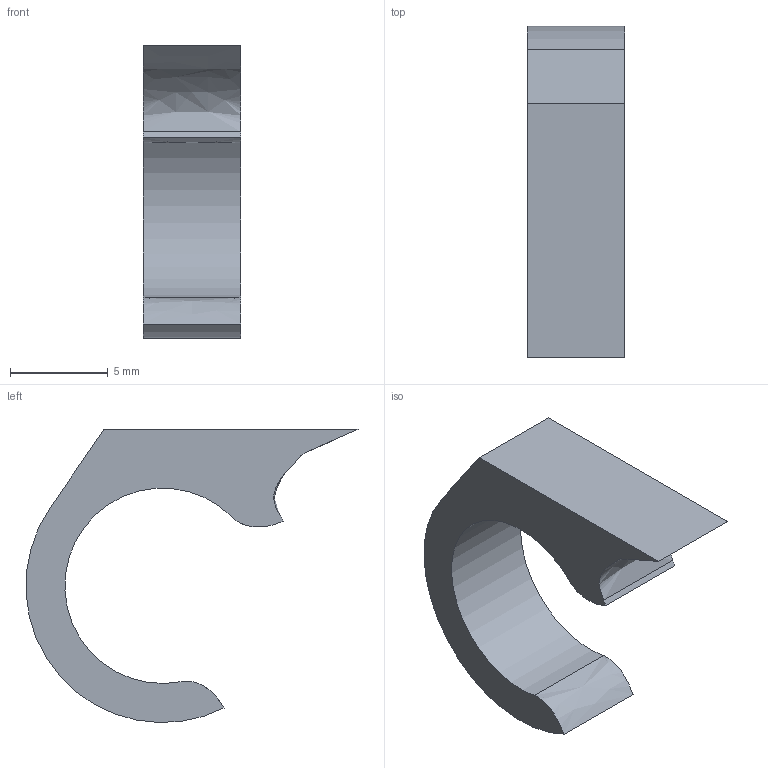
import cadquery as cq
import math

width = 5.0
inner_radius = 5.0
wall = 2.0
outer_radius = inner_radius + wall

flat_z = 8.0
flat_back_y = 3.0
flat_front_y = -10.0

upper_tip_angle = 151.8
hook_start_angle = 149.3
lower_tip_angle = 243.3

upper_lip_angle = 135.5
lower_lip_angle = 258.5

upper_lip_low_point = (-4.72, 3.02)
lower_lip_shoulder = (-2.02, -5.08)
hook_deepest_point = (-5.69, 4.6)
hook_bend_point = (-6.8, 6.38)

upper_lip_end_direction = (-0.9, 0.4)
lower_lip_start_direction = (0.53, 0.85)
hook_end_direction = (-0.91, 0.42)


def on_circle(radius, angle):
    """Point (Y, Z) on a circle about the ring axis."""
    return (radius * math.cos(math.radians(angle)), radius * math.sin(math.radians(angle)))


def circle_direction(angle):
    """Direction of travel along a circle for increasing angle."""
    return on_circle(1.0, angle + 90.0)


def reversed_direction(direction):
    return (-direction[0], -direction[1])


def tangent_angle(point):
    """Angle at which the line from point touches the back of the outer circle."""
    distance = math.hypot(*point)
    direction = math.degrees(math.atan2(point[1], point[0]))
    return direction - math.degrees(math.acos(outer_radius / distance))


def clip_profile():
    flat_back = (flat_back_y, flat_z)
    flat_front = (flat_front_y, flat_z)
    back_angle = tangent_angle(flat_back)
    upper_tip = on_circle(outer_radius, upper_tip_angle)
    lower_tip = on_circle(outer_radius, lower_tip_angle)
    outer_middle = (back_angle + lower_tip_angle - 360.0) / 2
    bore_middle = (upper_lip_angle + lower_lip_angle - 360.0) / 2
    tip_middle = (upper_tip_angle + hook_start_angle) / 2

    profile = cq.Workplane("YZ", origin=(-width / 2, 0, 0)).moveTo(*flat_front).lineTo(*flat_back)

    profile = profile.lineTo(*on_circle(outer_radius, back_angle))
    profile = profile.threePointArc(on_circle(outer_radius, outer_middle), lower_tip)

    profile = profile.spline(
        [lower_lip_shoulder, on_circle(inner_radius, lower_lip_angle)],
        tangents=[lower_lip_start_direction, circle_direction(lower_lip_angle)],
        includeCurrent=True,
    )
    profile = profile.threePointArc(
        on_circle(inner_radius, bore_middle), on_circle(inner_radius, upper_lip_angle)
    )
    profile = profile.spline(
        [upper_lip_low_point, upper_tip],
        tangents=[circle_direction(upper_lip_angle), upper_lip_end_direction],
        includeCurrent=True,
    )

    profile = profile.threePointArc(
        on_circle(outer_radius, tip_middle), on_circle(outer_radius, hook_start_angle)
    )
    profile = profile.spline(
        [hook_deepest_point, hook_bend_point, flat_front],
        tangents=[reversed_direction(circle_direction(hook_start_angle)), hook_end_direction],
        includeCurrent=True,
    )
    return profile.close()


result = clip_profile().extrude(width)